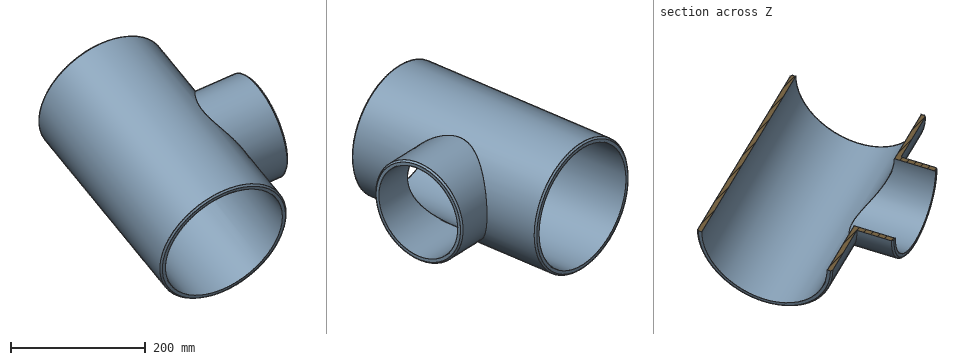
import cadquery as cq

RUN_LENGTH = 355.6
RUN_OUTER_DIAMETER = 219.075

BRANCH_REACH = 168.15
BRANCH_OUTER_DIAMETER = 168.275

WALL = 8.18

END_BEVEL = 2.75

RUN_START = cq.Plane(origin=(-RUN_LENGTH / 2, 0, 0), xDir=(0, 1, 0), normal=(1, 0, 0))
BRANCH_START = cq.Plane(origin=(0, 0, 0), xDir=(1, 0, 0), normal=(0, 1, 0))


def bar(start_plane, diameter, length):
    """Solid round bar growing from the plane along its normal."""
    return cq.Workplane(start_plane).circle(diameter / 2).extrude(length)


def tee_body():
    """Run and branch joined as solid bars, with the three open ends beveled."""
    run = bar(RUN_START, RUN_OUTER_DIAMETER, RUN_LENGTH)
    run = run.faces("<X or >X").chamfer(END_BEVEL)
    branch = bar(BRANCH_START, BRANCH_OUTER_DIAMETER, BRANCH_REACH)
    branch = branch.faces(">Y").chamfer(END_BEVEL)
    return run.union(branch)


def tee_bores():
    """Through bore of the run joined with the branch bore that opens into it."""
    run_bore = bar(RUN_START, RUN_OUTER_DIAMETER - 2 * WALL, RUN_LENGTH)
    branch_bore = bar(BRANCH_START, BRANCH_OUTER_DIAMETER - 2 * WALL, BRANCH_REACH)
    return run_bore.union(branch_bore)


result = tee_body().cut(tee_bores())